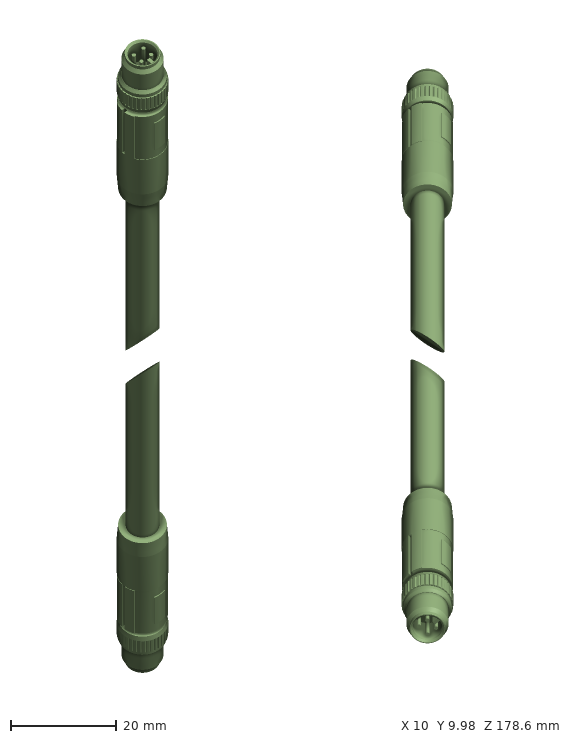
import cadquery as cq

TOTAL_LENGTH = 178.6
TIP_Z = TOTAL_LENGTH / 2

CABLE_DIAMETER = 6.5
CUT_LOW_Z = 0.2
CUT_HIGH_Z = 9.6

TIP_RIM_DEPTH = 0.9
TIP_CHAMFER_DEPTH = 1.6
NUT_TOP_DEPTH = 6.3
NUT_CHAMFER = 0.5
KNURL_TOP_DEPTH = 7.7
KNURL_BOTTOM_DEPTH = 11.0
NUT_BOTTOM_DEPTH = 12.1
GRIP_TOP_DEPTH = 13.2
GRIP_BOTTOM_DEPTH = 25.7
TAPER_DEPTH = 35.9
SLEEVE_END_DEPTH = 39.6

TIP_DIAMETER = 6.8
NECK_DIAMETER = 6.8
BARREL_DIAMETER = 8.0
NUT_DIAMETER = 9.3
KNURL_DIAMETER = 9.8
GRIP_DIAMETER = 9.6
RIB_DIAMETER = 10.0
SLEEVE_DIAMETER = 9.8
SLEEVE_END_DIAMETER = 9.3

KNURL_COUNT = 36
KNURL_NOTCH_SIZE = 0.4

RIB_WIDTH = 4.8
RIB_GROOVE_WIDTH = 0.7
RIB_GROOVE_FLOOR_DIAMETER = 8.5

PAD_WIDTH = 2.7
PAD_TOP_DEPTH = 15.5
PAD_LENGTH = 7.9

CAVITY_DIAMETER = 5.7
CAVITY_DEPTH = 5.9
CAVITY_MOUTH_DIAMETER = 6.5
MOUTH_CHAMFER = (CAVITY_MOUTH_DIAMETER - CAVITY_DIAMETER) / 2
PIN_DIAMETER = 0.8
PIN_TOP_DEPTH = 0.5
PIN_X = 1.0
PIN_Y = 1.3
KEY_WIDTH = 0.7
KEY_INNER_X = 1.6


def turned_body():
    """Revolved outline of the connector, without the cable."""
    steps = [
        (TIP_DIAMETER, 0),
        (TIP_DIAMETER, TIP_RIM_DEPTH),
        (BARREL_DIAMETER, TIP_CHAMFER_DEPTH),
        (BARREL_DIAMETER, NUT_TOP_DEPTH),
        (NUT_DIAMETER - 2 * NUT_CHAMFER, NUT_TOP_DEPTH),
        (NUT_DIAMETER, NUT_TOP_DEPTH + NUT_CHAMFER),
        (NUT_DIAMETER, KNURL_TOP_DEPTH),
        (KNURL_DIAMETER, KNURL_TOP_DEPTH),
        (KNURL_DIAMETER, KNURL_BOTTOM_DEPTH),
        (NUT_DIAMETER, NUT_BOTTOM_DEPTH),
        (NECK_DIAMETER, NUT_BOTTOM_DEPTH),
        (NECK_DIAMETER, GRIP_TOP_DEPTH),
        (GRIP_DIAMETER, GRIP_TOP_DEPTH),
        (GRIP_DIAMETER, GRIP_BOTTOM_DEPTH),
        (SLEEVE_DIAMETER, GRIP_BOTTOM_DEPTH),
        (SLEEVE_DIAMETER, TAPER_DEPTH),
        (SLEEVE_END_DIAMETER, SLEEVE_END_DEPTH),
    ]
    outline = [(0, TIP_Z)]
    outline += [(diameter / 2, TIP_Z - depth) for diameter, depth in steps]
    outline += [(0, TIP_Z - SLEEVE_END_DEPTH)]
    return cq.Workplane("XZ").polyline(outline).close().revolve(360, (0, 0, 0), (0, 1, 0))


def knurl_notches():
    """Straight V-notches around the widest band of the nut."""
    length = KNURL_BOTTOM_DEPTH - KNURL_TOP_DEPTH
    half_pitch = 180 / KNURL_COUNT
    return (
        cq.Workplane("XY", origin=(0, 0, TIP_Z - KNURL_BOTTOM_DEPTH))
        .polarArray(KNURL_DIAMETER / 2, half_pitch, 360, KNURL_COUNT)
        .polygon(4, KNURL_NOTCH_SIZE)
        .extrude(length)
    )


def grip_band(width_x, width_y, top_depth, length):
    """Part of a cylinder of the rib diameter, kept inside a centred width_x by width_y bar."""
    base = cq.Workplane("XY", origin=(0, 0, TIP_Z - top_depth - length))
    bar = base.rect(width_x, width_y).extrude(length)
    return base.circle(RIB_DIAMETER / 2).extrude(length).intersect(bar)


def rib_grooves():
    """Groove along the middle of both ribs, sunk below the grip surface."""
    length = GRIP_BOTTOM_DEPTH - GRIP_TOP_DEPTH
    base = cq.Workplane("XY", origin=(0, 0, TIP_Z - GRIP_BOTTOM_DEPTH))
    bar = base.rect(RIB_GROOVE_WIDTH, RIB_DIAMETER).extrude(length)
    return bar.cut(base.circle(RIB_GROOVE_FLOOR_DIAMETER / 2).extrude(length))


def contact_cavity():
    """Round recess in the tip, less the pins and the key that stand in it."""
    floor = cq.Workplane("XY", origin=(0, 0, TIP_Z - CAVITY_DEPTH))
    recess = floor.circle(CAVITY_DIAMETER / 2).extrude(CAVITY_DEPTH)
    pin_places = [(x, y) for x in (-PIN_X, PIN_X) for y in (-PIN_Y, PIN_Y)]
    pins = floor.pushPoints(pin_places).circle(PIN_DIAMETER / 2).extrude(CAVITY_DEPTH - PIN_TOP_DEPTH)
    key_length = CAVITY_DIAMETER / 2 - KEY_INNER_X
    key = floor.center(KEY_INNER_X + key_length / 2, 0).rect(key_length, KEY_WIDTH).extrude(CAVITY_DEPTH)
    mouth = cq.Workplane("XY", origin=(0, 0, TIP_Z)).circle(CAVITY_MOUTH_DIAMETER / 2)
    mouth = mouth.extrude(-MOUTH_CHAMFER, taper=45)
    return recess.cut(key).union(mouth).cut(pins)


def cable():
    """Cable from the oblique cut up into the sleeve."""
    radius = CABLE_DIAMETER / 2
    sleeve_z = TIP_Z - SLEEVE_END_DEPTH
    side = [(-radius, CUT_LOW_Z), (radius, CUT_HIGH_Z), (radius, sleeve_z), (-radius, sleeve_z)]
    cut_bar = cq.Workplane("XZ").polyline(side).close().extrude(radius, both=True)
    return cq.Workplane("XY").circle(radius).extrude(sleeve_z).intersect(cut_bar)


def cable_half():
    """One connector with its piece of cable, tip pointing up."""
    grip_length = GRIP_BOTTOM_DEPTH - GRIP_TOP_DEPTH
    ribs = grip_band(RIB_WIDTH, RIB_DIAMETER, GRIP_TOP_DEPTH, grip_length)
    pads = grip_band(RIB_DIAMETER, PAD_WIDTH, PAD_TOP_DEPTH, PAD_LENGTH)
    body = turned_body().cut(knurl_notches())
    body = body.union(ribs).union(pads).cut(rib_grooves())
    return body.cut(contact_cavity()).union(cable())


upper_half = cable_half()
lower_half = upper_half.rotate((0, 0, 0), (0, 1, 0), 180)

result = cq.Compound.makeCompound([upper_half.val(), lower_half.val()])